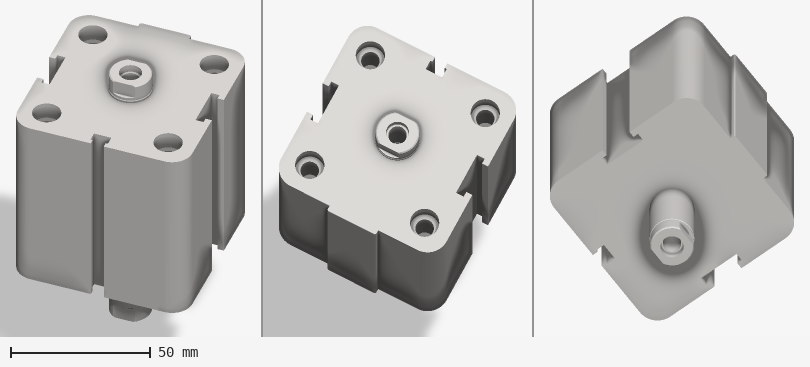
import cadquery as cq

ROD_LENGTH = 110.5
HOUSING_BOTTOM = 32.5
HOUSING_HEIGHT = 70.5
HOUSING_TOP = HOUSING_BOTTOM + HOUSING_HEIGHT

HOUSING_SIDE = 67.0
HALF_SIDE = HOUSING_SIDE / 2
CORNER_RADIUS = 7.7

PAD_WIDTH = 19.7
PAD_HEIGHT = 2.0
PAD_CHAMFER = 0.4

SIDE_SLOT_MOUTH = 12.0
SIDE_SLOT_WIDTH = 16.0
SIDE_SLOT_LIP = 2.4
SIDE_SLOT_DEPTH = 5.5

FRONT_SLOT_MOUTH = 5.0
FRONT_SLOT_WIDTH = 6.6
FRONT_SLOT_LIP = 2.0
FRONT_SLOT_DEPTH = 5.5

MOUNT_SPACING = 46.5
MOUNT_BORE_DIAMETER = 10.5
MOUNT_BORE_DEPTH = 6.6
MOUNT_CORE_DIAMETER = 6.6
MOUNT_CORE_DEPTH = 22.1

ROD_DIAMETER = 16.0
ROD_END_DIAMETER = 15.6
ROD_END_LENGTH = 6.5
ROD_TIP_CHAMFER = 0.4
FLAT_SPACING = 13.0
FLAT_LENGTH = 5.4
ROD_BORE_DIAMETER = 6.0
END_HOLE_DIAMETER = 6.6
END_HOLE_DEPTH = 22.1
END_COUNTERBORE_DIAMETER = 8.3
END_COUNTERBORE_DEPTH = 3.0


def make_t_slot(mouth, width, lip, depth):
    """T-slot cutter over the housing height, cut into the -Y face at X = 0."""
    face_y = -HALF_SIDE
    neck = (
        cq.Workplane("XY", origin=(0, face_y + lip / 2, HOUSING_BOTTOM))
        .rect(mouth, lip)
        .extrude(HOUSING_HEIGHT)
    )
    pocket = (
        cq.Workplane("XY", origin=(0, face_y + (lip + depth) / 2, HOUSING_BOTTOM))
        .rect(width, depth - lip)
        .extrude(HOUSING_HEIGHT)
    )
    return neck.union(pocket)


def make_pad():
    """Raised pad on the +Y face with chamfered outer edges."""
    half_width = PAD_WIDTH / 2
    outer_y = HALF_SIDE + PAD_HEIGHT
    shoulder_y = outer_y - PAD_CHAMFER
    half_top = half_width - PAD_CHAMFER
    return (
        cq.Workplane("XY", origin=(0, 0, HOUSING_BOTTOM))
        .polyline([
            (-half_width, 0),
            (half_width, 0),
            (half_width, shoulder_y),
            (half_top, outer_y),
            (-half_top, outer_y),
            (-half_width, shoulder_y),
        ])
        .close()
        .extrude(HOUSING_HEIGHT)
    )


def make_housing():
    """Square housing with T-slots, mounting holes and a bore for the rod."""
    block = (
        cq.Workplane("XY", origin=(0, 0, HOUSING_BOTTOM))
        .rect(HOUSING_SIDE, HOUSING_SIDE)
        .extrude(HOUSING_HEIGHT)
        .edges("|Z")
        .fillet(CORNER_RADIUS)
    )
    housing = block.union(make_pad())

    housing = housing.cut(
        make_t_slot(FRONT_SLOT_MOUTH, FRONT_SLOT_WIDTH, FRONT_SLOT_LIP, FRONT_SLOT_DEPTH)
    )
    side_slot = make_t_slot(SIDE_SLOT_MOUTH, SIDE_SLOT_WIDTH, SIDE_SLOT_LIP, SIDE_SLOT_DEPTH)
    for angle in (-90, 90):
        housing = housing.cut(side_slot.rotate((0, 0, 0), (0, 0, 1), angle))

    top_plane = cq.Workplane("XY", origin=(0, 0, HOUSING_TOP))
    mount_holes = top_plane.rect(MOUNT_SPACING, MOUNT_SPACING, forConstruction=True).vertices()
    housing = housing.cut(mount_holes.circle(MOUNT_BORE_DIAMETER / 2).extrude(-MOUNT_BORE_DEPTH))
    housing = housing.cut(mount_holes.circle(MOUNT_CORE_DIAMETER / 2).extrude(-MOUNT_CORE_DEPTH))

    rod_bore = top_plane.circle(ROD_DIAMETER / 2).extrude(-HOUSING_HEIGHT)
    return housing.cut(rod_bore)


def make_flat_cutters(bottom):
    """Pair of cutters that leave two flats FLAT_SPACING apart along Y."""
    offset = FLAT_SPACING / 2 + ROD_DIAMETER / 2
    return (
        cq.Workplane("XY", origin=(0, 0, bottom))
        .pushPoints([(0, -offset), (0, offset)])
        .rect(ROD_DIAMETER, ROD_DIAMETER)
        .extrude(FLAT_LENGTH)
    )


def make_rod_bore():
    """Through bore that widens in two steps at both ends of the rod."""
    bore = cq.Workplane("XY").circle(ROD_BORE_DIAMETER / 2).extrude(ROD_LENGTH)
    end_steps = (
        (END_HOLE_DIAMETER, END_HOLE_DEPTH),
        (END_COUNTERBORE_DIAMETER, END_COUNTERBORE_DEPTH),
    )
    for diameter, depth in end_steps:
        for start in (0, ROD_LENGTH - depth):
            step = cq.Workplane("XY", origin=(0, 0, start)).circle(diameter / 2).extrude(depth)
            bore = bore.union(step)
    return bore


def make_rod():
    """Through-bored rod with a reduced, flatted and chamfered end on both sides."""
    radius = ROD_DIAMETER / 2
    end_radius = ROD_END_DIAMETER / 2
    step = radius - end_radius
    shank = (
        cq.Workplane("XY", origin=(0, 0, ROD_END_LENGTH))
        .circle(radius)
        .extrude(ROD_LENGTH - 2 * ROD_END_LENGTH)
        .faces("<Z or >Z")
        .chamfer(step)
    )
    core = (
        cq.Workplane("XY")
        .circle(end_radius)
        .extrude(ROD_LENGTH)
        .faces("<Z or >Z")
        .chamfer(ROD_TIP_CHAMFER)
    )
    rod = shank.union(core)
    for flat_bottom in (0, ROD_LENGTH - FLAT_LENGTH):
        rod = rod.cut(make_flat_cutters(flat_bottom))
    return rod.cut(make_rod_bore())


housing = make_housing()
rod = make_rod()

result = cq.Compound.makeCompound([housing.val(), rod.val()])